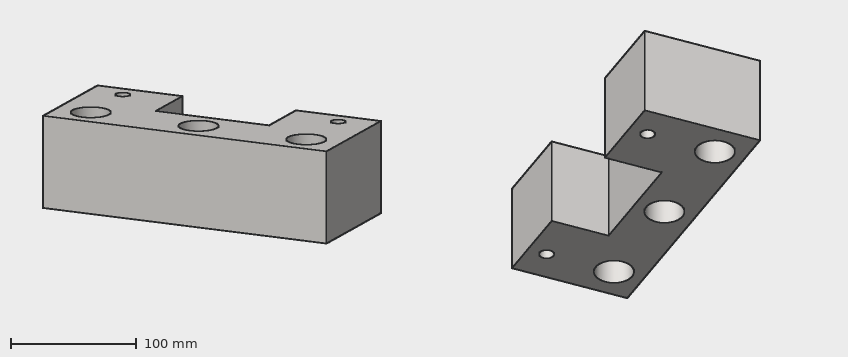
import cadquery as cq

length = 250.0
depth = 101.5
height = 76.2

notch_width = 100.0
notch_depth = 50.0

large_diameter = 32.0
small_diameter = 12.0
hole_spacing = 95.0
large_front_offset = 25.8
small_back_offset = 16.5

large_y = large_front_offset - depth / 2
small_y = depth / 2 - small_back_offset
notch_y = depth / 2 - notch_depth / 2

large_centers = [(x, large_y) for x in (-hole_spacing, 0, hole_spacing)]
small_centers = [(x, small_y) for x in (-hole_spacing, hole_spacing)]


def through_holes(centers, diameter):
    """Vertical cylinders spanning the full height of the block."""
    return (
        cq.Workplane("XY")
        .pushPoints(centers)
        .circle(diameter / 2)
        .extrude(height)
    )


block = cq.Workplane("XY").rect(length, depth).extrude(height)
notch = cq.Workplane("XY").center(0, notch_y).rect(notch_width, notch_depth).extrude(height)

result = (
    block.cut(notch)
    .cut(through_holes(large_centers, large_diameter))
    .cut(through_holes(small_centers, small_diameter))
)